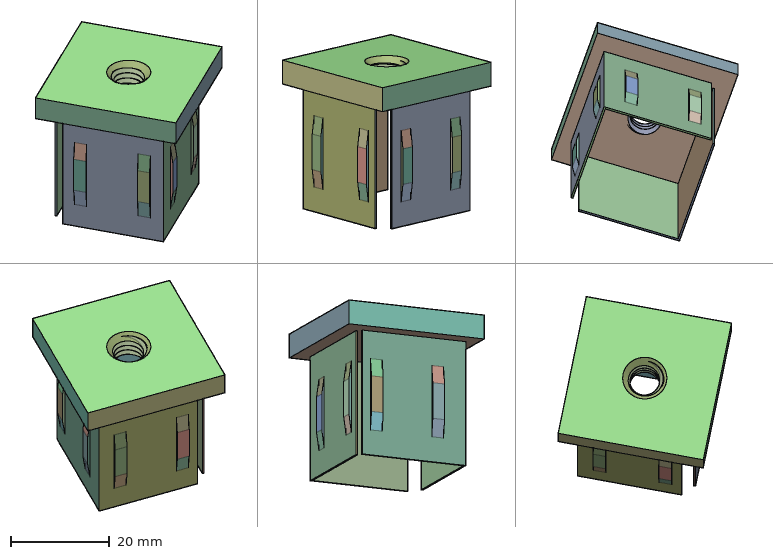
import cadquery as cq

head_side = 30.0
head_thickness = 5.02
total_height = 31.0

skirt_low = -12.45
skirt_high = 11.5
wall_thickness = 0.4
skirt_height = total_height - head_thickness

low_corner_opening = 2.42
high_corner_opening = 1.0

rib_width = 2.6
rib_height = 0.53
rib_length = 14.95
rib_flat = rib_length / 2
rib_top_z = -10.82
front_rib_centers = (-6.2, 7.4)
side_rib_centers = (-6.7, 6.9)

bore_diameter = 6.0
countersink_diameter = 8.95
countersink_depth = (countersink_diameter - bore_diameter) / 2
thread_pitch = 1.25
thread_depth = 0.9
thread_groove_width = 1.2
thread_overlap = 0.03
thread_turns = 5
thread_top_z = -0.6


def make_head():
    return (
        cq.Workplane("XY")
        .rect(head_side, head_side)
        .extrude(-head_thickness)
    )


def square_column(low, high):
    """Square column on the X = Y diagonal, running the full skirt height."""
    center = (low + high) / 2
    return (
        cq.Workplane("XY")
        .workplane(offset=-head_thickness)
        .center(center, center)
        .rect(high - low, high - low)
        .extrude(-skirt_height)
    )


def make_skirt():
    cavity = square_column(skirt_low + wall_thickness, skirt_high - wall_thickness)
    low_corner = square_column(skirt_low, skirt_low + low_corner_opening)
    high_corner = square_column(skirt_high - high_corner_opening, skirt_high)
    return square_column(skirt_low, skirt_high).cut(cavity).cut(low_corner).cut(high_corner)


def rib_on_x_wall(wall_x, outward, center_y):
    """Rib on a wall facing X; outward is the sign of the facing direction."""
    slope_length = (rib_length - rib_flat) / 2
    root_x = wall_x - outward * wall_thickness / 2
    crest_x = wall_x + outward * rib_height
    bottom_z = rib_top_z - rib_length
    outline = [
        (root_x, rib_top_z),
        (wall_x, rib_top_z),
        (crest_x, rib_top_z - slope_length),
        (crest_x, bottom_z + slope_length),
        (wall_x, bottom_z),
        (root_x, bottom_z),
    ]
    return (
        cq.Workplane("XZ", origin=(0, center_y, 0))
        .polyline(outline)
        .close()
        .extrude(rib_width / 2, both=True)
    )


def add_ribs(body):
    for wall, outward in ((skirt_low, -1), (skirt_high, 1)):
        for center in side_rib_centers:
            body = body.union(rib_on_x_wall(wall, outward, center))
        for center in front_rib_centers:
            rib = rib_on_x_wall(wall, outward, center)
            rib = rib.rotate((0, 0, 0), (1, 1, 0), 180).mirror("XY")
            body = body.union(rib)
    return body


def make_bore():
    bore = (
        cq.Workplane("XY")
        .circle(bore_diameter / 2)
        .extrude(-head_thickness)
    )
    countersink = cq.Workplane("XY").add(
        cq.Solid.makeCone(
            countersink_diameter / 2,
            bore_diameter / 2,
            countersink_depth,
            dir=cq.Vector(0, 0, -1),
        )
    )
    return bore.union(countersink)


def make_thread_groove():
    """Helical V groove that runs out through the countersink and the head underside."""
    radius = bore_diameter / 2
    height = thread_turns * thread_pitch
    start_z = thread_top_z - height
    helix = cq.Wire.makeHelix(thread_pitch, height, radius, center=cq.Vector(0, 0, start_z))
    groove = [
        (radius - thread_overlap, start_z - thread_groove_width / 2),
        (radius + thread_depth, start_z),
        (radius - thread_overlap, start_z + thread_groove_width / 2),
    ]
    return cq.Workplane("XZ").polyline(groove).close().sweep(cq.Workplane(helix), isFrenet=True)


head = make_head().cut(make_thread_groove()).cut(make_bore())
result = add_ribs(head.union(make_skirt()))